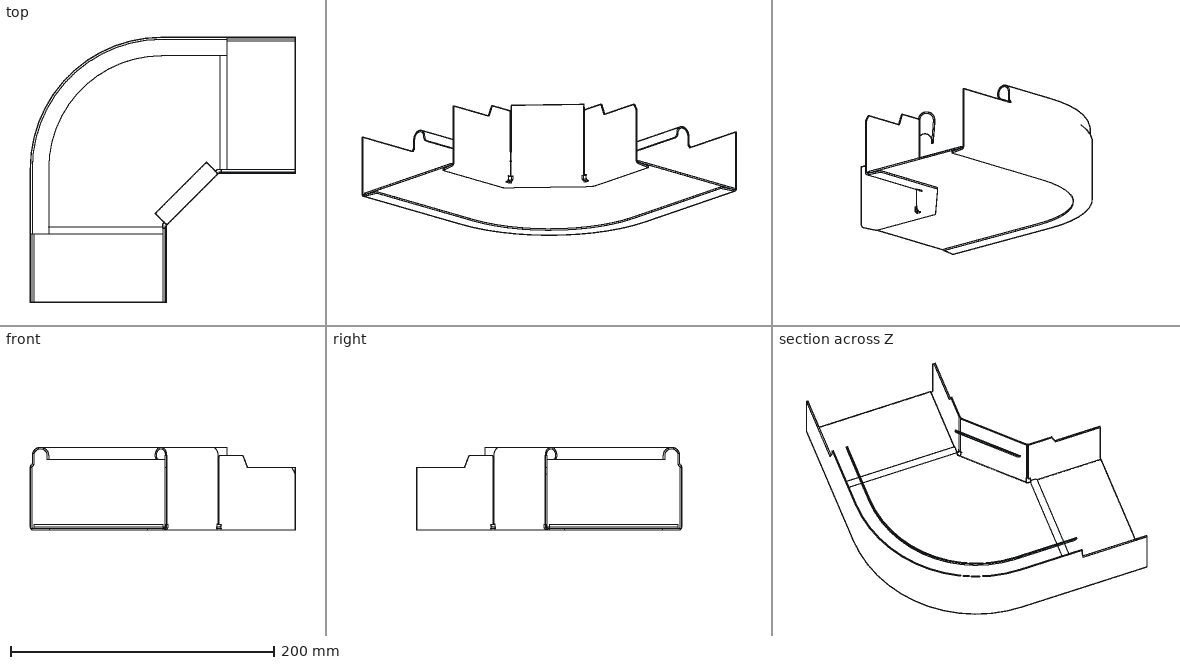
import cadquery as cq
import math

SIZE = 201.4
ARM_WIDTH = 103.5
SHEET = 1.2
BEND_RADIUS = 2.6
FOOT_WIDTH = 14.5
FOOT_TAPER = 2.0
CORNER_RADIUS = 99.9

LOW_WALL_TOP = 47.7
HIGH_WALL_TOP = 56.8
ROLL_RADIUS = 6.2
LIP_HEIGHT = 3.0
LIP_CORNER = 2.8
RIM_END = 149.6

JOGGLE_OFFSET = 1.6
JOGGLE_HEIGHT = 3.0
JOGGLE_SPLIT = 1.8

FLANGE_START = 143.4
FLANGE_CORNER = 1.0
FLANGE_STEP = 161.7
FLANGE_STEP_RUN = 3.5
FLANGE_CHAMFER_RUN = 2.6
FLANGE_CHAMFER_DROP = 5.0

DIAGONAL_SUM = 246.5
DIAGONAL_LENGTH = 55.2
RELIEF_START = 141.8
RELIEF_WIDTH = 3.2
RELIEF_DEPTH = 5.0
RELIEF_HEIGHT = 4.5

PLATE_INSET = 2.8
RIDGE_RADIUS = 3.0
RIDGE_POSITION = 146.8

BEND_INNER = BEND_RADIUS - SHEET
JOGGLE_TOP = LOW_WALL_TOP + JOGGLE_HEIGHT
HALF_TURN = math.sqrt(0.5)
MIRROR_NORMAL = (1, 1, 0)


def wall_section(plane, face, bottom, top):
    """Upright sheet whose outer face is at u = face."""
    return (
        cq.Workplane(plane)
        .moveTo(face, bottom)
        .lineTo(face + SHEET, bottom)
        .lineTo(face + SHEET, top)
        .lineTo(face, top)
        .close()
    )


def bend_section(plane):
    """Quarter-round bend between a foot and a wall."""
    outer_middle = BEND_RADIUS - BEND_RADIUS * HALF_TURN
    inner_middle = BEND_RADIUS - BEND_INNER * HALF_TURN
    return (
        cq.Workplane(plane)
        .moveTo(BEND_RADIUS, 0)
        .threePointArc((outer_middle, outer_middle), (0, BEND_RADIUS))
        .lineTo(SHEET, BEND_RADIUS)
        .threePointArc((inner_middle, inner_middle), (BEND_RADIUS, SHEET))
        .close()
    )


def roll_section(plane, face):
    """Half-round rim with a short free lip, standing on a wall whose outer face is at u = face."""
    middle = face + ROLL_RADIUS
    far = face + 2 * ROLL_RADIUS
    top = HIGH_WALL_TOP + ROLL_RADIUS
    lip_bottom = HIGH_WALL_TOP - LIP_HEIGHT
    return (
        cq.Workplane(plane)
        .moveTo(face, HIGH_WALL_TOP)
        .threePointArc((middle, top), (far, HIGH_WALL_TOP))
        .lineTo(far, lip_bottom)
        .lineTo(far - SHEET, lip_bottom)
        .lineTo(far - SHEET, HIGH_WALL_TOP)
        .threePointArc((middle, top - SHEET), (face + SHEET, HIGH_WALL_TOP))
        .close()
    )


def joggle_section(plane):
    """S-shaped shift of the outer wall, made of two tangent arcs."""
    angle = 2 * math.atan(JOGGLE_OFFSET / JOGGLE_HEIGHT)
    convex = JOGGLE_SPLIT / math.sin(angle)
    concave = (JOGGLE_HEIGHT - JOGGLE_SPLIT) / math.sin(angle)

    def on_convex(radius, turn):
        return convex - radius * math.cos(turn), LOW_WALL_TOP + radius * math.sin(turn)

    def on_concave(radius, turn):
        return JOGGLE_OFFSET - concave + radius * math.cos(turn), JOGGLE_TOP - radius * math.sin(turn)

    return (
        cq.Workplane(plane)
        .moveTo(*on_convex(convex, 0))
        .threePointArc(on_convex(convex, angle / 2), on_convex(convex, angle))
        .threePointArc(on_concave(concave, angle / 2), on_concave(concave, 0))
        .lineTo(*on_concave(concave + SHEET, 0))
        .threePointArc(on_concave(concave + SHEET, angle / 2), on_concave(concave + SHEET, angle))
        .threePointArc(on_convex(convex - SHEET, angle / 2), on_convex(convex - SHEET, 0))
        .close()
    )


def outer_edge(base, inset, end):
    """Add the outer side to a sketch: straight, big corner arc, straight."""
    arc_middle = CORNER_RADIUS - (CORNER_RADIUS - inset) * HALF_TURN
    return (
        base.moveTo(inset, -end)
        .lineTo(inset, -CORNER_RADIUS)
        .threePointArc((arc_middle, -arc_middle), (CORNER_RADIUS, -inset))
        .lineTo(end, -inset)
    )


def inner_edge_points(inset, end):
    """Corners of the inner side, from the +X arm end to the -Y arm end."""
    near = ARM_WIDTH - inset
    far = DIAGONAL_SUM - inset * math.sqrt(2) - near
    return [(end, -near), (far, -near), (near, -far), (near, -end)]


def sweep_along_side(make_section, end, *section_sizes):
    """Sweep a section along the outer side."""
    plane = cq.Plane(origin=(0, -end, 0), xDir=(1, 0, 0), normal=(0, -1, 0))
    path = outer_edge(cq.Workplane("XY"), 0, end)
    return make_section(plane, *section_sizes).sweep(path)


def outer_foot():
    tip = SIZE - FOOT_TAPER
    whole = outer_edge(cq.Workplane("XY"), BEND_RADIUS, SIZE).lineTo(tip, -FOOT_WIDTH)
    whole = whole.lineTo(tip, -tip).lineTo(FOOT_WIDTH, -tip).close().extrude(SHEET)
    inside = outer_edge(cq.Workplane("XY"), FOOT_WIDTH, tip).lineTo(tip, -tip).close().extrude(SHEET)
    return whole.cut(inside)


def make_outer_wall():
    bend = sweep_along_side(bend_section, SIZE)
    low_wall = sweep_along_side(wall_section, SIZE, 0, BEND_RADIUS, LOW_WALL_TOP)
    joggle = sweep_along_side(joggle_section, RIM_END)
    high_wall = sweep_along_side(wall_section, RIM_END, JOGGLE_OFFSET, JOGGLE_TOP, HIGH_WALL_TOP)
    roll = sweep_along_side(roll_section, RIM_END, JOGGLE_OFFSET)
    for lip_end in ("<Y", ">X"):
        roll = roll.faces("<Z").edges(lip_end).fillet(LIP_CORNER)
    return outer_foot().union(bend).union(low_wall).union(joggle).union(high_wall).union(roll)


def inner_foot():
    wall_side = inner_edge_points(BEND_RADIUS, SIZE)
    free_side = inner_edge_points(FOOT_WIDTH, SIZE - FOOT_TAPER)
    return cq.Workplane("XY").polyline(wall_side + free_side[::-1]).close().extrude(SHEET)


def arm_flange(chamfered):
    """Stepped flange along the inner side of the +X arm."""
    start = cq.Plane(origin=(FLANGE_START, -ARM_WIDTH, 0), xDir=(0, 1, 0), normal=(1, 0, 0))
    bend = bend_section(start).extrude(SIZE - FLANGE_START)
    outline = [
        (FLANGE_START, BEND_RADIUS),
        (FLANGE_START, HIGH_WALL_TOP),
        (FLANGE_STEP, HIGH_WALL_TOP),
        (FLANGE_STEP + FLANGE_STEP_RUN, LOW_WALL_TOP),
    ]
    if chamfered:
        outline.append((SIZE - FLANGE_CHAMFER_RUN, LOW_WALL_TOP))
        outline.append((SIZE, LOW_WALL_TOP - FLANGE_CHAMFER_DROP))
    else:
        outline.append((SIZE, LOW_WALL_TOP))
    outline.append((SIZE, BEND_RADIUS))
    wall = cq.Workplane("XZ", origin=(0, -ARM_WIDTH, 0)).polyline(outline).close().extrude(-SHEET)
    wall = wall.faces("<X").edges(">Z").fillet(FLANGE_CORNER)
    return bend.union(wall)


def diagonal_wall():
    """Wall across the inside corner with a rolled rim."""
    half_run = DIAGONAL_LENGTH / 2 * HALF_TURN
    origin = (DIAGONAL_SUM / 2 - half_run, -DIAGONAL_SUM / 2 - half_run, 0)
    start = cq.Plane(origin=origin, xDir=(-1, 1, 0), normal=(1, 1, 0))
    bend = bend_section(start).extrude(DIAGONAL_LENGTH)
    wall = wall_section(start, 0, BEND_RADIUS, HIGH_WALL_TOP).extrude(DIAGONAL_LENGTH)
    roll = roll_section(start, 0).extrude(DIAGONAL_LENGTH)
    roll = roll.faces("<Z").edges("|(-1,1,0)").fillet(LIP_CORNER)
    return bend.union(wall).union(roll)


def bend_relief():
    """Opening between the diagonal wall and the flange of the +X arm."""
    inner_end = PLATE_INSET - ARM_WIDTH
    corner = (RELIEF_START, inner_end - RELIEF_DEPTH, 0)
    return cq.Workplane("XY").box(RELIEF_WIDTH, RELIEF_DEPTH, RELIEF_HEIGHT, centered=False).translate(corner)


def make_inner_wall():
    wall = inner_foot().union(diagonal_wall())
    wall = wall.union(arm_flange(chamfered=True))
    wall = wall.union(arm_flange(chamfered=False).mirror(MIRROR_NORMAL))
    relief = bend_relief()
    return wall.cut(relief).cut(relief.mirror(MIRROR_NORMAL))


def ridge():
    """Ridge across the +X arm, from one plate edge to the other."""
    return (
        cq.Workplane("XZ", origin=(RIDGE_POSITION, -PLATE_INSET, SHEET))
        .moveTo(-RIDGE_RADIUS, 0)
        .threePointArc((0, RIDGE_RADIUS), (RIDGE_RADIUS, 0))
        .close()
        .extrude(ARM_WIDTH - 2 * PLATE_INSET)
    )


def make_floor_plate():
    plate = outer_edge(cq.Workplane("XY", origin=(0, 0, SHEET)), PLATE_INSET, SIZE)
    for point in inner_edge_points(PLATE_INSET, SIZE):
        plate = plate.lineTo(*point)
    plate = plate.close().extrude(SHEET)
    return plate.union(ridge()).union(ridge().mirror(MIRROR_NORMAL))


outer_wall = make_outer_wall()
inner_wall = make_inner_wall()
floor_plate = make_floor_plate()

result = cq.Compound.makeCompound([outer_wall.val(), inner_wall.val(), floor_plate.val()])